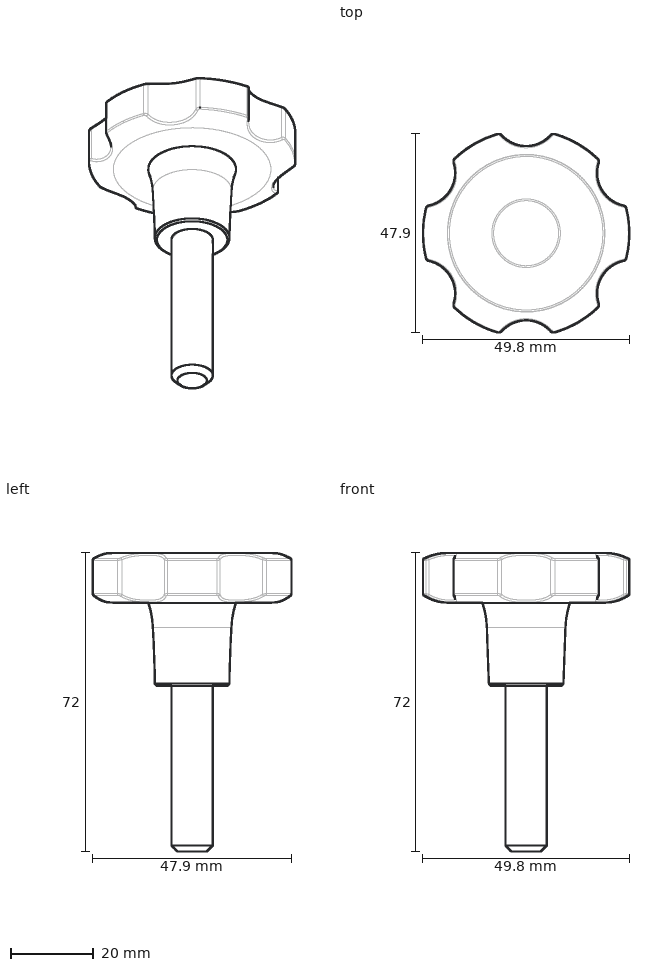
import cadquery as cq
import math

total_height = 72.0
head_height = 12.0
hub_end_z = 39.95
top_z = total_height
head_bottom_z = top_z - head_height

head_radius = 24.9
flat_radius = 19.0
top_shoulder_drop = 1.5
bottom_shoulder_drop = 1.95
lobe_count = 6
scallop_radius = 8.0
scallop_root = 21.0
corner_fillet = 1.0
edge_fillet = 0.5

dish_radius = 18.7
dish_floor_radius = 8.1
dish_depth = 2.5
dish_fillet = 1.8

hub_top_radius = 10.6
hub_waist_radius = 9.5
hub_end_radius = 9.0
hub_waist_z = 54.0
hub_chamfer = 0.5

stud_radius = 10.0 / 2
stud_chamfer = 1.45


def shoulder_midpoint(face_z, drop):
    """Middle point of a shoulder arc that leaves the flat face tangentially; drop is signed along z."""
    run = head_radius - flat_radius
    arc_radius = (run**2 + drop**2) / (2 * abs(drop))
    half_angle = math.asin(run / arc_radius) / 2
    radius = flat_radius + arc_radius * math.sin(half_angle)
    rise = math.copysign(arc_radius * (1 - math.cos(half_angle)), drop)
    return (radius, face_z + rise)


def lies_outside_flats(edge):
    """True for an edge with both ends outside the flat faces."""
    return all(
        math.hypot(point.x, point.y) > flat_radius
        for point in (edge.startPoint(), edge.endPoint())
    )


def make_head():
    """Domed disc with scallops around its rim and softened outer edges."""
    wall_bottom_z = head_bottom_z + bottom_shoulder_drop
    wall_top_z = top_z - top_shoulder_drop
    disc = (
        cq.Workplane("XZ")
        .moveTo(0, head_bottom_z)
        .lineTo(flat_radius, head_bottom_z)
        .threePointArc(shoulder_midpoint(head_bottom_z, bottom_shoulder_drop), (head_radius, wall_bottom_z))
        .lineTo(head_radius, wall_top_z)
        .threePointArc(shoulder_midpoint(top_z, -top_shoulder_drop), (flat_radius, top_z))
        .lineTo(0, top_z)
        .close()
        .revolve(360, (0, 0, 0), (0, 1, 0))
    )
    scallops = (
        cq.Workplane("XY", origin=(0, 0, head_bottom_z))
        .polarArray(scallop_root + scallop_radius, 180 / lobe_count, 360, lobe_count)
        .circle(scallop_radius)
        .extrude(head_height)
    )
    head = disc.cut(scallops)
    corners = [edge for edge in head.edges("|Z").vals() if abs(edge.Center().y) > corner_fillet]
    head = head.newObject(corners).fillet(corner_fillet)
    outline_edges = [edge for edge in head.edges("not |Z").vals() if lies_outside_flats(edge)]
    return head.newObject(outline_edges).fillet(edge_fillet)


def make_dish():
    """Shallow conical recess with a flat floor."""
    floor_z = top_z - dish_depth
    return (
        cq.Workplane("XY", origin=(0, 0, floor_z))
        .circle(dish_floor_radius)
        .workplane(offset=dish_depth)
        .circle(dish_radius)
        .loft(ruled=True)
    )


def make_hub():
    """Tapered hub whose upper part flares smoothly towards the head."""
    return (
        cq.Workplane("XZ")
        .moveTo(0, hub_end_z)
        .lineTo(hub_end_radius, hub_end_z)
        .lineTo(hub_waist_radius, hub_waist_z)
        .tangentArcPoint((hub_top_radius, head_bottom_z), relative=False)
        .lineTo(0, head_bottom_z)
        .close()
        .revolve(360, (0, 0, 0), (0, 1, 0))
        .faces("<Z")
        .edges()
        .chamfer(hub_chamfer)
    )


def make_stud():
    """Plain round stud with a chamfered free end."""
    return cq.Workplane("XY").circle(stud_radius).extrude(hub_end_z).faces("<Z").chamfer(stud_chamfer)


def cut_dish(head):
    """Sink the dish into the head and round its rim and the edge of its floor."""
    dished = head.cut(make_dish())
    dish_edges = [
        edge
        for edge in dished.edges("%CIRCLE").vals()
        if edge.IsClosed() and edge.Center().z > head_bottom_z and edge.radius() < flat_radius
    ]
    return dished.newObject(dish_edges).fillet(dish_fillet)


result = cut_dish(make_head()).union(make_hub()).union(make_stud())